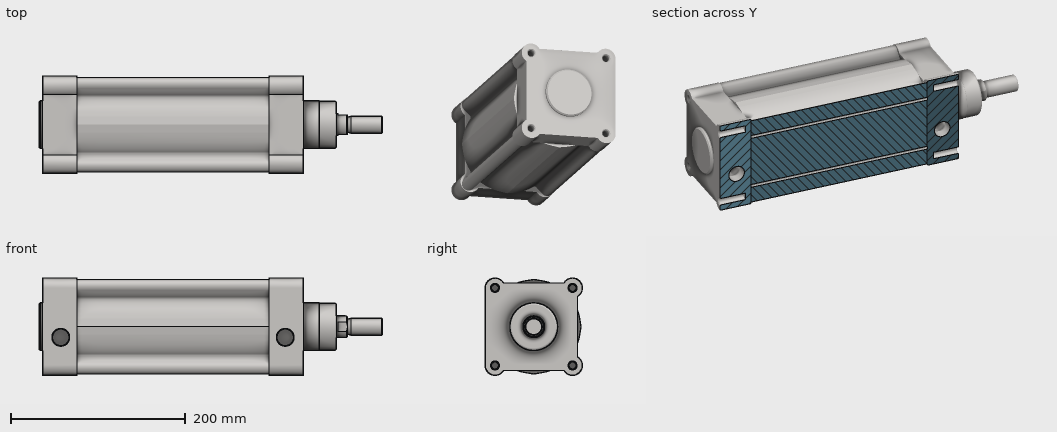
import cadquery as cq
import math


total_length = 392.7
boss_length = 4.0
cap_length = 39.3
barrel_length = 220.0
rear_cap_start = boss_length
barrel_start = rear_cap_start + cap_length
front_cap_start = barrel_start + barrel_length
nose_start = front_cap_start + cap_length

overall_width = 111.5
half_width = overall_width / 2
lobe_radius = 11.5
lobe_offset = half_width - lobe_radius
flat_offset = 50.3

screw_radius = 4.0
screw_mouth_radius = 5.0
screw_depth = 31.5

port_radius = 9.5
port_mouth_radius = 10.2
port_depth = 23.5
port_drop = 12.0
port_from_barrel = 18.5

boss_radius = 27.5
boss_chamfer = 1.5
collar_radius = boss_radius
collar_length = 19.0
collar_chamfer = 0.8
nose_radius = 27.0
nose_length = 37.7
nose_rounding = 2.5
nose_end = nose_start + nose_length

ridge_height = 54.0
ridge_flat_width = 9.0
ridge_slope = math.radians(9)
side_radius = 55.0
rib_radius = 7.5
rib_offset = 46.7
groove_radius = 2.5

shoulder_radius = 12.5
shoulder_end = 352.5
shoulder_chamfer = 1.0
flat_start = 342.0
flat_half_width = 11.5
neck_radius = 9.0
neck_end = 354.2
stud_radius = 10.0
stud_start = 356.5
stud_chamfer = 0.8


def bored_hole(radius, mouth_radius, depth, mouth, inward):
    """Cutter for a blind hole with a 45 degree chamfer at its mouth."""
    hole = cq.Solid.makeCylinder(radius, depth, mouth, inward)
    chamfer = cq.Solid.makeCone(mouth_radius, radius, mouth_radius - radius, mouth, inward)
    return hole.fuse(chamfer)


def disc(start, radius, length):
    """Round step on the cylinder axis."""
    return cq.Workplane("YZ", origin=(start, 0, 0)).circle(radius).extrude(length)


def cap_block(start):
    """Block with a round lobe at each corner; its -Y face is flush with the lobes."""
    plane = cq.Workplane("YZ", origin=(start, 0, 0))
    body_width = flat_offset + lobe_offset
    body = (
        plane.center((flat_offset - lobe_offset) / 2, 0)
        .rect(body_width, 2 * flat_offset)
        .extrude(cap_length)
    )
    port_side = plane.center(-half_width / 2, 0).rect(half_width, 2 * lobe_offset).extrude(cap_length)
    lobes = (
        plane.rect(2 * lobe_offset, 2 * lobe_offset, forConstruction=True)
        .vertices()
        .circle(lobe_radius)
        .extrude(cap_length)
    )
    return body.union(port_side).union(lobes)


def drilled_cap(start, outer_face, inward, port_x):
    """Cap block with four screw holes in its outer face and one port in its -Y side."""
    cap = cap_block(start)
    for y in (-lobe_offset, lobe_offset):
        for z in (-lobe_offset, lobe_offset):
            mouth = cq.Vector(outer_face, y, z)
            cap = cap.cut(bored_hole(screw_radius, screw_mouth_radius, screw_depth, mouth, inward))
    port_mouth = cq.Vector(port_x, -half_width, -port_drop)
    port_inward = cq.Vector(0, 1, 0)
    return cap.cut(bored_hole(port_radius, port_mouth_radius, port_depth, port_mouth, port_inward))


def make_rear_cap():
    """Rear cap with a chamfered centring boss."""
    port_x = barrel_start - port_from_barrel
    cap = drilled_cap(rear_cap_start, rear_cap_start, cq.Vector(1, 0, 0), port_x)
    boss = disc(0, boss_radius, boss_length).faces("<X").chamfer(boss_chamfer)
    return cap.union(boss)


def make_front_cap():
    """Front cap with a two-step nose."""
    port_x = front_cap_start + port_from_barrel
    cap = drilled_cap(front_cap_start, nose_start, cq.Vector(-1, 0, 0), port_x)
    collar = disc(nose_start, collar_radius, collar_length).faces(">X").chamfer(collar_chamfer)
    nose = disc(nose_start, nose_radius, nose_length).faces(">X").fillet(nose_rounding)
    return cap.union(collar).union(nose)


def mirrored(point):
    """Reflect a (y, z) point in the diagonal through the corner rib."""
    y, z = point
    return (z, y)


def turned(point, quarters):
    """Turn a (y, z) point about the axis by quarter turns, from +Z towards +Y."""
    y, z = point
    for _ in range(quarters):
        y, z = z, -y
    return (y, z)


def make_barrel():
    """Barrel with the same ridged side and corner rib repeated every quarter turn."""
    ridge = (0, ridge_height)
    flat_end = (ridge_flat_width, ridge_height - ridge_flat_width * math.tan(ridge_slope))
    centre_y = flat_end[0] - side_radius * math.sin(ridge_slope)
    centre_z = flat_end[1] - side_radius * math.cos(ridge_slope)

    def on_side(angle):
        return (centre_y + side_radius * math.sin(angle), centre_z + side_radius * math.cos(angle))

    flank_gap = rib_radius * math.sqrt(2)
    end_angle = math.acos((flank_gap + centre_y - centre_z) / (side_radius * math.sqrt(2))) - math.pi / 4
    side_middle = on_side((ridge_slope + end_angle) / 2)
    side_end = on_side(end_angle)

    tip_shift = rib_radius / math.sqrt(2)
    tip_start = (rib_offset - tip_shift, rib_offset + tip_shift)
    tip_middle = (rib_offset + tip_shift, rib_offset + tip_shift)

    outline = cq.Workplane("YZ", origin=(barrel_start, 0, 0)).moveTo(*ridge)
    for quarter in range(4):
        outline = (
            outline.lineTo(*turned(flat_end, quarter))
            .threePointArc(turned(side_middle, quarter), turned(side_end, quarter))
            .lineTo(*turned(tip_start, quarter))
            .threePointArc(turned(tip_middle, quarter), turned(mirrored(tip_start), quarter))
            .lineTo(*turned(mirrored(side_end), quarter))
            .threePointArc(turned(mirrored(side_middle), quarter), turned(mirrored(flat_end), quarter))
        )
        if quarter < 3:
            outline = outline.lineTo(*turned(mirrored(ridge), quarter))
    barrel = outline.close().extrude(barrel_length)

    middle_x = barrel_start + barrel_length / 2
    groove_edges = []
    for quarter in range(4):
        for corner in (side_end, mirrored(side_end)):
            nearest = cq.selectors.NearestToPointSelector((middle_x, *turned(corner, quarter)))
            groove_edges.append(barrel.edges(nearest).val())
    return barrel.newObject(groove_edges).fillet(groove_radius)


def make_rod():
    """Turned rod standing on the nose face, with wrench flats on its +Y and -Y sides."""
    half_profile = [
        (nose_end, 0),
        (nose_end, -shoulder_radius),
        (shoulder_end - shoulder_chamfer, -shoulder_radius),
        (shoulder_end, -(shoulder_radius - shoulder_chamfer)),
        (shoulder_end, -neck_radius),
        (neck_end, -neck_radius),
        (stud_start, -stud_radius),
        (total_length - stud_chamfer, -stud_radius),
        (total_length, -(stud_radius - stud_chamfer)),
        (total_length, 0),
    ]
    rod = cq.Workplane("XY").polyline(half_profile).close().revolve(360, (0, 0, 0), (1, 0, 0))
    flat_length = shoulder_end - flat_start
    for side in (-1, 1):
        waste = (
            cq.Workplane("XY")
            .box(flat_length, shoulder_radius, 2 * shoulder_radius)
            .translate((flat_start + flat_length / 2, side * (flat_half_width + shoulder_radius / 2), 0))
        )
        rod = rod.cut(waste)
    return rod


rear_cap = make_rear_cap()
barrel = make_barrel()
front_cap = make_front_cap()
rod = make_rod()

bodies = [rear_cap, barrel, front_cap, rod]
result = cq.Compound.makeCompound([body.solids().val() for body in bodies])